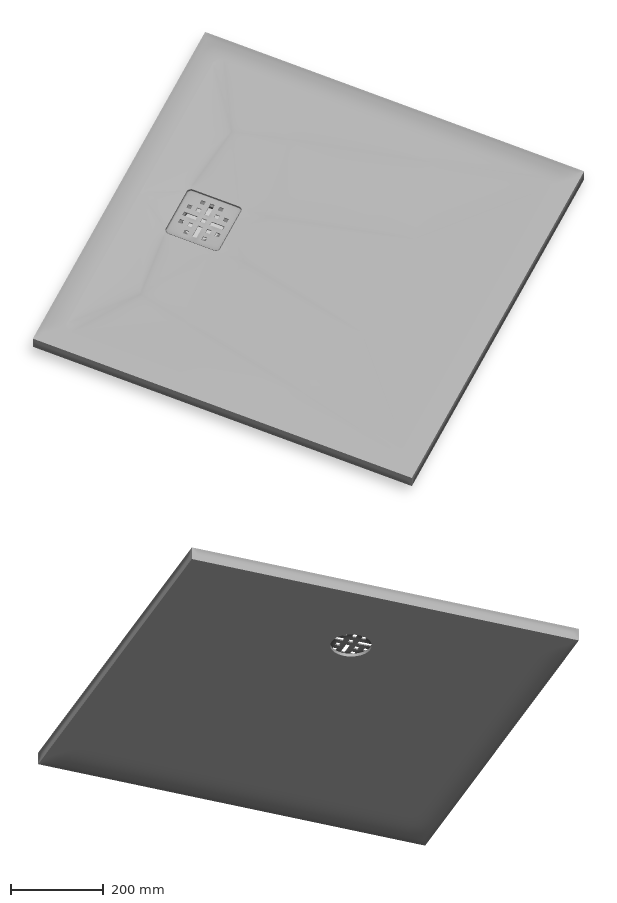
import cadquery as cq

tray_side = 900.0
tray_height = 30.0
rim_width = 49.5
basin_side = tray_side - 2 * rim_width
basin_corner_radius = 18.0
basin_fall = 13.5
basin_floor_z = tray_height - basin_fall

drain_x = -249.0
seat_side = 130.0
seat_corner_radius = 11.0
seat_depth = 5.0
seat_z = basin_floor_z - seat_depth
sump_diameter = 126.0
sump_depth = 4.0
outlet_diameter = 90.0

grate_gap = 3.0
grate_side = seat_side - 2 * grate_gap
grate_corner_radius = seat_corner_radius - grate_gap
grate_thickness = 3.0
opening_pitch = 22.0
opening_width = 10.0
slot_length = opening_pitch + opening_width
slot_offset = 1.5 * opening_pitch


def rounded_plate(side, radius, thickness, z):
    """Square plate over the drain with rounded vertical edges and its underside at height z."""
    outline = cq.Sketch().rect(side, side).vertices().fillet(radius)
    return cq.Workplane("XY", origin=(drain_x, 0, z)).placeSketch(outline).extrude(thickness)


def half_outline(side, radius, x, z):
    """Open wire around the +Y half of a rounded square centred on (x, 0, z), from its -X to its +X side."""
    half = side / 2
    straight = half - radius
    diagonal = straight + radius * 0.5**0.5
    outline = (
        cq.Workplane("XY", origin=(x, 0, z))
        .moveTo(-half, 0)
        .lineTo(-half, straight)
        .threePointArc((-diagonal, diagonal), (-straight, half))
        .lineTo(straight, half)
        .threePointArc((diagonal, diagonal), (half, straight))
        .lineTo(half, 0)
    )
    return outline.wire().val()


def make_half_basin():
    """The +Y half of the basin: one smooth slope between the rim and the drain seat, closed by flat faces."""
    rim_edge = half_outline(basin_side, basin_corner_radius, 0, tray_height)
    seat_edge = half_outline(seat_side, seat_corner_radius, drain_x, basin_floor_z)
    rim_chord = cq.Edge.makeLine(rim_edge.endPoint(), rim_edge.startPoint())
    seat_chord = cq.Edge.makeLine(seat_edge.endPoint(), seat_edge.startPoint())
    falls = [
        cq.Edge.makeLine(rim_edge.startPoint(), seat_edge.startPoint()),
        cq.Edge.makeLine(rim_edge.endPoint(), seat_edge.endPoint()),
    ]
    halfway_points = [
        (rim_part.positionAt(0.5) + seat_part.positionAt(0.5)) / 2
        for rim_part, seat_part in zip(rim_edge.Edges(), seat_edge.Edges())
    ]
    slope = cq.Face.makeNSidedSurface([*rim_edge.Edges(), *seat_edge.Edges(), *falls], halfway_points)
    top = cq.Face.makeFromWires(cq.Wire.assembleEdges([*rim_edge.Edges(), rim_chord]))
    bottom = cq.Face.makeFromWires(cq.Wire.assembleEdges([*seat_edge.Edges(), seat_chord]))
    middle = cq.Face.makeFromWires(cq.Wire.assembleEdges([rim_chord, falls[0], seat_chord, falls[1]]))
    return cq.Workplane(cq.Solid.makeSolid(cq.Shell.makeShell([slope, top, bottom, middle])))


def make_tray():
    slab = cq.Workplane("XY").box(tray_side, tray_side, tray_height, centered=(True, True, False))
    half_basin = make_half_basin()
    seat = rounded_plate(seat_side, seat_corner_radius, seat_depth, seat_z)
    sump = cq.Workplane("XY", origin=(drain_x, 0, seat_z)).circle(sump_diameter / 2).extrude(-sump_depth)
    outlet = cq.Workplane("XY").center(drain_x, 0).circle(outlet_diameter / 2).extrude(seat_z)
    tray = slab
    for pocket in (half_basin, half_basin.mirror("XZ"), seat, sump, outlet):
        tray = tray.cut(pocket, clean=False)
    return tray


def make_grate():
    plate = rounded_plate(grate_side, grate_corner_radius, grate_thickness, seat_z)
    blank = cq.Workplane("XY", origin=(drain_x, 0, seat_z))

    square_points = [(0, 0)]
    for x_sign in (-1, 1):
        for y_sign in (-1, 1):
            for column, row in ((1, 1), (1, 2), (2, 1)):
                square_points.append((x_sign * column * opening_pitch, y_sign * row * opening_pitch))
    squares = blank.pushPoints(square_points).rect(opening_width, opening_width).extrude(grate_thickness)

    slots_along_x = (
        blank.pushPoints([(-slot_offset, 0), (slot_offset, 0)])
        .rect(slot_length, opening_width)
        .extrude(grate_thickness)
    )
    slots_along_y = (
        blank.pushPoints([(0, -slot_offset), (0, slot_offset)])
        .rect(opening_width, slot_length)
        .extrude(grate_thickness)
    )
    return plate.cut(squares).cut(slots_along_x).cut(slots_along_y)


tray = make_tray()
grate = make_grate()
result = cq.Compound.makeCompound([tray.solids().val(), grate.solids().val()])